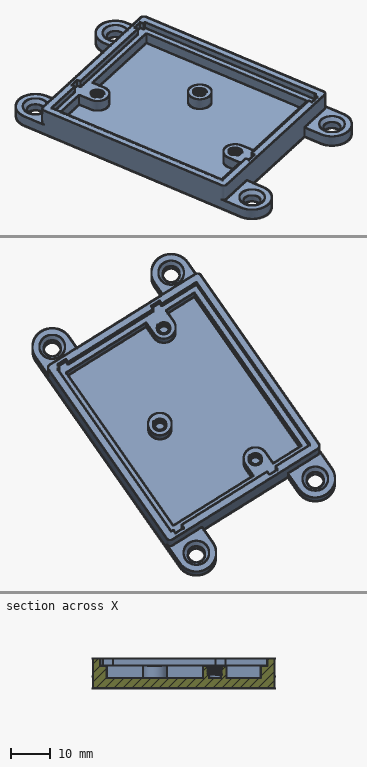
import cadquery as cq
import math

length = 76.0
depth = 46.0
height = 7.6

box_length = 56.0
corner_radius = 1.0
floor_thickness = 2.65
rim_width = 2.0
rim_depth = 1.8
ledge_z = height - rim_depth
pocket_length = 49.0
pocket_depth = 38.75

ear_thickness = 3.05
ear_width = 10.0
ear_hole_diameter = 4.3
ear_sink_diameter = 6.45
ear_sink_half_angle = 45.0
ear_x = (length - ear_width) / 2
ear_y = (depth - ear_width) / 2

notch_width = 2.5
notch_depth = 1.0
notch_centers_y = (19.1, -9.3)

boss_diameter = 6.0
center_boss_y = 7.2
side_boss_x = 21.0
side_boss_y = -7.8

bore_diameter = 2.9
thread_diameter = 3.6
thread_pitch = 0.6
groove_width = 0.5
groove_overlap = 0.2
thread_start_angle = 150.0

boss_centers = [(0, center_boss_y), (-side_boss_x, side_boss_y), (side_boss_x, side_boss_y)]
boss_height = ledge_z - floor_thickness


def block(size_x, size_y, bottom, top):
    """Centred rectangular block between two heights."""
    return cq.Workplane("XY").workplane(offset=bottom).rect(size_x, size_y).extrude(top - bottom)


def make_ear_bars():
    """Two round-ended bars across the part; their ends are the four ears."""
    bars = cq.Workplane("XY").pushPoints([(0, -ear_y), (0, ear_y)])
    return bars.slot2D(length, ear_width).extrude(ear_thickness)


def make_tray():
    """Box with a pocket, a wider rim recess and the ear bars below it."""
    base = block(box_length, depth, 0, ear_thickness)
    walls = block(box_length, depth, ear_thickness, height).edges("|Z").fillet(corner_radius)
    recess = block(box_length - 2 * rim_width, depth - 2 * rim_width, ledge_z, height)
    pocket = block(pocket_length, pocket_depth, floor_thickness, ledge_z)
    return base.union(make_ear_bars()).union(walls).cut(recess).cut(pocket)


def cut_ear_holes(body):
    """Through holes with a conical countersink."""
    centers = [(x, y) for x in (-ear_x, ear_x) for y in (-ear_y, ear_y)]
    top = cq.Workplane("XY").workplane(offset=ear_thickness).pushPoints(centers)
    sink_step = (ear_sink_diameter - ear_hole_diameter) / 2
    sink_depth = sink_step / math.tan(math.radians(ear_sink_half_angle))
    holes = top.circle(ear_hole_diameter / 2).extrude(-ear_thickness)
    sinks = top.circle(ear_sink_diameter / 2).extrude(-sink_depth, taper=ear_sink_half_angle)
    return body.cut(holes).cut(sinks)


def cut_notches(body):
    """Notches on the inner side of the end-wall rims, open at the top."""
    span = box_length - 2 * rim_width + 2 * notch_depth
    for y in notch_centers_y:
        body = body.cut(block(span, notch_width, ledge_z, height).translate((0, y, 0)))
    return body


def add_bosses(body):
    """One free-standing boss and two joined to the end walls of the pocket."""
    floor = cq.Workplane("XY").workplane(offset=floor_thickness)
    body = body.union(floor.pushPoints(boss_centers).circle(boss_diameter / 2).extrude(boss_height))
    web_length = pocket_length / 2 - side_boss_x
    for side in (-1, 1):
        web_x = side * (side_boss_x + web_length / 2)
        web = floor.center(web_x, side_boss_y).rect(web_length, boss_diameter).extrude(boss_height)
        body = body.union(web)
    return body


def make_thread_groove():
    """Helical V groove that starts above the pocket floor and runs out through the top of a boss."""
    root_radius = bore_diameter / 2 - groove_overlap
    start_z = floor_thickness + thread_pitch
    helix = cq.Wire.makeHelix(thread_pitch, boss_height, root_radius).translate(cq.Vector(0, 0, start_z))
    profile = cq.Workplane("XZ").polyline(
        [
            (root_radius, start_z - groove_width / 2),
            (thread_diameter / 2, start_z),
            (root_radius, start_z + groove_width / 2),
        ]
    ).close()
    groove = profile.sweep(cq.Workplane(obj=helix), isFrenet=True)
    return groove.rotate((0, 0, 0), (0, 0, 1), thread_start_angle)


def cut_boss_threads(body):
    """Blind threaded bores down to the pocket floor."""
    floor = cq.Workplane("XY").workplane(offset=floor_thickness)
    bore = floor.circle(bore_diameter / 2).extrude(boss_height)
    groove = make_thread_groove()
    for x, y in boss_centers:
        body = body.cut(groove.translate((x, y, 0)))
        body = body.cut(bore.translate((x, y, 0)))
    return body


tray = cut_notches(cut_ear_holes(make_tray()))
result = cut_boss_threads(add_bosses(tray))